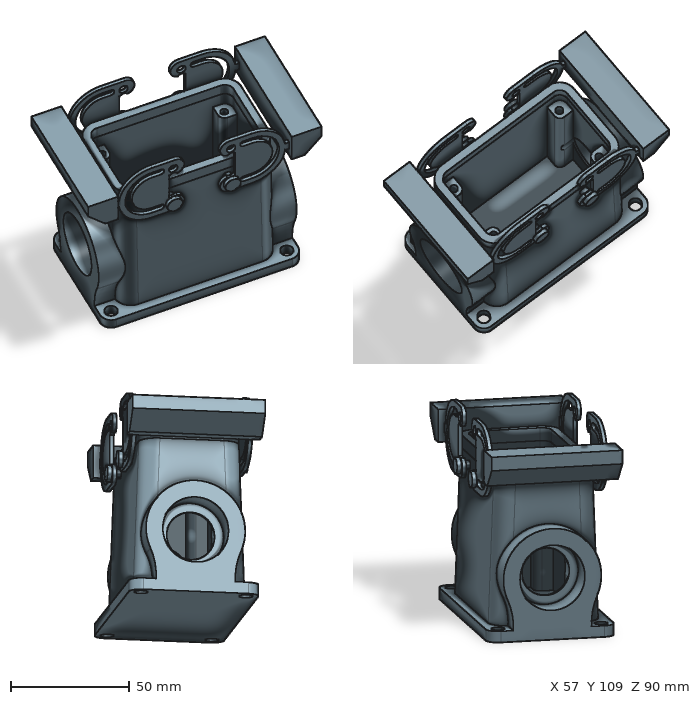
import cadquery as cq
import math

flange_width = 55.6
flange_length = 92.4
flange_height = 4.9
flange_corner_radius = 5.2
screw_hole_diameter = 5.7
screw_hole_spacing_x = 45.0
screw_hole_spacing_y = 82.0

base_width = 47.8
mouth_width = 43.0
box_length = 73.3
box_corner_radius = 7.7
wall = 3.6
collar_bottom = 68.3
collar_top = 73.9
cavity_width = mouth_width - 2 * wall
cavity_length = box_length - 2 * wall
cavity_corner_radius = box_corner_radius - wall

pillar_width = 8.0
pillar_length = 7.7
pillar_corner_radius = 3.0
pillar_top = 62.0
pillar_hole_diameter = 3.4
pillar_hole_depth = 12.0
pillar_hole_x = 13.5
pillar_hole_y = 28.5

port_height = 26.9
port_radius = 21.35
port_bore_radius = 14.15
port_hole_radius = 10.3
port_ring_thickness = 1.0
port_bore_end = box_length / 2 - wall + port_ring_thickness
foot_half_width = 17.0
foot_blend_radius = 28.5

lever_height = 74.45
cheek_inner = 24.1
cheek_thickness = 1.75
cheek_outer = cheek_inner + cheek_thickness
bow_center_y = 23.3
bow_radius = 15.55
bow_slot_radius = 11.05
bow_slot_width = 3.1
bow_slot_end_y = 17.8
cheek_edge_y = 15.5
lobe_radius = 4.4
lobe_y = 12.75
notch_radius = 2.0
notch_y = cheek_edge_y - notch_radius
notch_offset = 5.85
pivot_y = 13.5
pivot_offset = 10.5
pivot_diameter = 4.0

pin_head_diameter = 7.1
pin_head_end = flange_width / 2

handle_width = 57.0
handle_inner_y = 40.5
handle_outer_y = 54.5
handle_top = 82.5
handle_bottom = 68.3
handle_slope_top = 76.6
handle_slope_y = 46.5
neck_height = 4.0


def rounded_box(width, length, bottom, top, radius):
    """Upright box centred on the Z axis with rounded vertical corners."""
    box = cq.Workplane("XY", origin=(0, 0, bottom)).rect(width, length).extrude(top - bottom)
    return box.edges("|Z").fillet(radius)


def cylinder_along_x(start, end, y, z, diameter):
    plane = cq.Workplane("YZ", origin=(start, y, z))
    return plane.circle(diameter / 2).extrude(end - start)


def make_flange():
    flange = rounded_box(flange_width, flange_length, 0, flange_height, flange_corner_radius)
    return (
        flange.faces(">Z").workplane()
        .rect(screw_hole_spacing_x, screw_hole_spacing_y, forConstruction=True)
        .vertices().hole(screw_hole_diameter)
    )


def make_box():
    """Box with leaning long walls, up to the underside of the collar."""
    return (
        cq.Workplane("XZ")
        .moveTo(-base_width / 2, flange_height)
        .lineTo(base_width / 2, flange_height)
        .lineTo(mouth_width / 2, collar_bottom)
        .lineTo(-mouth_width / 2, collar_bottom)
        .close()
        .extrude(box_length / 2, both=True)
        .edges("not (#Z or |Y)")
        .fillet(box_corner_radius)
    )


def make_port_block():
    """Round cable entry block whose sides sweep through a concave arc into a narrower foot."""
    blend_x = foot_half_width + foot_blend_radius
    center_distance = port_radius + foot_blend_radius
    blend_drop = math.sqrt(center_distance ** 2 - blend_x ** 2)
    blend_z = port_height - blend_drop
    tangent_x = blend_x * port_radius / center_distance
    tangent_z = port_height - blend_drop * port_radius / center_distance
    foot_end_x = blend_x - math.sqrt(foot_blend_radius ** 2 - (blend_z - flange_height) ** 2)
    return (
        cq.Workplane("XZ")
        .moveTo(-foot_end_x, flange_height)
        .lineTo(foot_end_x, flange_height)
        .threePointArc((foot_half_width, blend_z), (tangent_x, tangent_z))
        .threePointArc((0, port_height + port_radius), (-tangent_x, tangent_z))
        .threePointArc((-foot_half_width, blend_z), (-foot_end_x, flange_height))
        .close()
        .extrude(flange_length / 2, both=True)
    )


def make_cavity():
    """Inner space of the box, leaving the four corner pillars standing."""
    cavity = rounded_box(
        cavity_width, cavity_length, flange_height, collar_bottom, cavity_corner_radius
    )
    pillar_gap_x = cavity_width - pillar_width
    pillar_gap_y = cavity_length - pillar_length
    for x_side in (-1, 1):
        for y_side in (-1, 1):
            pillar = (
                cq.Workplane("XY", origin=(x_side * pillar_gap_x / 2, y_side * pillar_gap_y / 2, 0))
                .rect(pillar_width, pillar_length)
                .extrude(pillar_top)
            )
            inward_x = "<X" if x_side > 0 else ">X"
            inward_y = "<Y" if y_side > 0 else ">Y"
            pillar = pillar.faces(inward_x).edges("|Z").edges(inward_y).fillet(pillar_corner_radius)
            cavity = cavity.cut(pillar)
    return cavity


def make_pillar_holes():
    return (
        cq.Workplane("XY", origin=(0, 0, pillar_top - pillar_hole_depth))
        .rect(2 * pillar_hole_x, 2 * pillar_hole_y, forConstruction=True)
        .vertices()
        .circle(pillar_hole_diameter / 2)
        .extrude(pillar_hole_depth)
    )


def make_port_bores():
    """Through hole along Y, widened to a larger bore at each end."""
    bores = (
        cq.Workplane("XZ").center(0, port_height)
        .circle(port_hole_radius)
        .extrude(flange_length / 2, both=True)
    )
    end_bore = (
        cq.Workplane("XZ", origin=(0, -port_bore_end, port_height))
        .circle(port_bore_radius)
        .extrude(flange_length / 2 - port_bore_end)
    )
    return bores.union(end_bore).union(end_bore.mirror("XZ"))


def cheek_plane():
    return cq.Workplane("YZ", origin=(cheek_inner, 0, lever_height))


def cheek_disc(y, offset, radius):
    """Disc as thick as a cheek, its centre raised by offset above the middle of the lever."""
    return cheek_plane().center(y, offset).circle(radius).extrude(cheek_thickness)


def make_cheek():
    """Bow-shaped side plate with two hooked ends, for the +X side of the +Y lever."""
    arm_offset = bow_radius - lobe_radius
    bow = cheek_disc(bow_center_y, 0, bow_radius)
    web_depth = bow_center_y - cheek_edge_y
    web = (
        cheek_plane().center(bow_center_y - web_depth / 2, 0)
        .rect(web_depth, 2 * bow_radius)
        .extrude(cheek_thickness)
    )
    behind_web = (
        cheek_plane().center(cheek_edge_y - bow_radius, 0)
        .rect(2 * bow_radius, 2 * bow_radius)
        .extrude(cheek_thickness)
    )
    cheek = bow.cut(behind_web).union(web)

    arm_depth = bow_center_y - lobe_y
    for side in (-1, 1):
        arm = (
            cheek_plane().center(lobe_y + arm_depth / 2, side * arm_offset)
            .rect(arm_depth, 2 * lobe_radius)
            .extrude(cheek_thickness)
        )
        lobe = cheek_disc(lobe_y, side * arm_offset, lobe_radius)
        notch = cheek_disc(notch_y, side * notch_offset, notch_radius)
        cheek = cheek.union(arm).union(lobe).cut(notch)

    pivot_hole = cheek_disc(pivot_y, pivot_offset, pivot_diameter / 2)
    neck_depth = handle_inner_y - bow_center_y - bow_slot_radius - bow_slot_width / 2
    neck = (
        cheek_plane().center(handle_inner_y - neck_depth / 2, 0)
        .rect(neck_depth, neck_height)
        .extrude(cheek_thickness)
    )
    return cheek.cut(make_bow_slot()).cut(pivot_hole).union(neck)


def make_bow_slot():
    """Curved slot that follows the bow and ends in two straight, round-ended legs."""
    outer = bow_slot_radius + bow_slot_width / 2
    inner = bow_slot_radius - bow_slot_width / 2
    leg_end = bow_slot_end_y + bow_slot_width / 2
    return (
        cheek_plane()
        .moveTo(leg_end, outer)
        .lineTo(bow_center_y, outer)
        .threePointArc((bow_center_y + outer, 0), (bow_center_y, -outer))
        .lineTo(leg_end, -outer)
        .threePointArc((bow_slot_end_y, -bow_slot_radius), (leg_end, -inner))
        .lineTo(bow_center_y, -inner)
        .threePointArc((bow_center_y + inner, 0), (bow_center_y, inner))
        .lineTo(leg_end, inner)
        .threePointArc((bow_slot_end_y, bow_slot_radius), (leg_end, outer))
        .close()
        .extrude(cheek_thickness)
    )


def make_pivot_pin():
    """Headed pin that runs from inside the box wall out through the cheek."""
    pin_z = lever_height - pivot_offset
    shaft_start = mouth_width / 2 - wall / 2
    shaft = cylinder_along_x(shaft_start, cheek_outer, pivot_y, pin_z, pivot_diameter)
    head = cylinder_along_x(cheek_outer, pin_head_end, pivot_y, pin_z, pin_head_diameter)
    return shaft.union(head)


def make_handle():
    return (
        cq.Workplane("YZ")
        .moveTo(handle_inner_y, handle_bottom)
        .lineTo(handle_slope_y, handle_bottom)
        .lineTo(handle_outer_y, handle_slope_top)
        .lineTo(handle_outer_y, handle_top)
        .lineTo(handle_inner_y, handle_top)
        .close()
        .extrude(handle_width / 2, both=True)
    )


def make_lever():
    """Locking lever on the +Y end, with its two pivot pins."""
    side = make_cheek().union(make_pivot_pin())
    return make_handle().union(side).union(side.mirror("YZ"))


def make_housing():
    """Housing with both locking levers pinned to its long walls."""
    lever = make_lever()
    housing = make_flange().union(make_box()).union(make_port_block())
    housing = housing.cut(make_cavity()).cut(make_pillar_holes()).cut(make_port_bores())
    return housing.union(lever).union(lever.mirror("XZ"))


def make_collar():
    """Upright rim that closes the top of the housing box."""
    outside = rounded_box(mouth_width, box_length, collar_bottom, collar_top, box_corner_radius)
    opening = rounded_box(
        cavity_width, cavity_length, collar_bottom, collar_top, cavity_corner_radius
    )
    return outside.cut(opening)


housing = make_housing()
collar = make_collar()

result = cq.Compound.makeCompound([housing.val(), collar.val()])